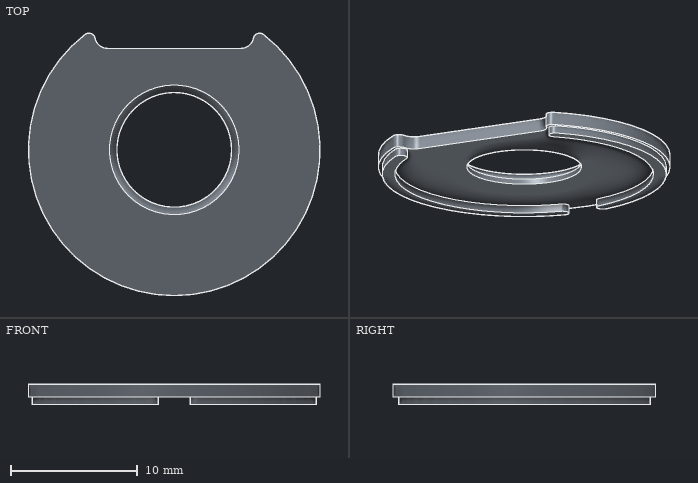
import cadquery as cq
import math

PLATE_RADIUS = 11.5
PLATE_THICKNESS = 1.01
FLAT_Y = 8.0
HORN_TOP_Y = 9.2
HORN_TIP_RADIUS = 0.5
HORN_ROOT_RADIUS = 1.0

HOLE_RADIUS = 4.5
HOLE_CHAMFER = 0.6

LIP_HEIGHT = 0.6
LIP_OUTER_RADIUS = 11.2
LIP_WIDTH = 1.01
FRONT_GAP = 2.5
LIP_BACK_Y = 8.79


def point_toward(start, target, distance):
    """Point at the given distance from start, on the line to target."""
    fraction = distance / math.dist(start, target)
    return (
        start[0] + fraction * (target[0] - start[0]),
        start[1] + fraction * (target[1] - start[1]),
    )


def polar(radius, angle):
    return (radius * math.cos(angle), radius * math.sin(angle))


def mirrored(point):
    return (-point[0], point[1])


def make_plate():
    tip_y = HORN_TOP_Y - HORN_TIP_RADIUS
    tip_x = math.sqrt((PLATE_RADIUS - HORN_TIP_RADIUS) ** 2 - tip_y**2)
    tip_center = (tip_x, tip_y)
    root_y = FLAT_Y + HORN_ROOT_RADIUS
    root_x = tip_x - math.sqrt((HORN_TIP_RADIUS + HORN_ROOT_RADIUS) ** 2 - (root_y - tip_y) ** 2)
    root_center = (root_x, root_y)

    rim_end = polar(PLATE_RADIUS, math.atan2(tip_y, tip_x))
    tip_top = (tip_x, HORN_TOP_Y)
    tip_end = point_toward(tip_center, root_center, HORN_TIP_RADIUS)
    flat_end = (root_x, FLAT_Y)
    root_chord_middle = ((tip_end[0] + flat_end[0]) / 2, (tip_end[1] + flat_end[1]) / 2)
    root_middle = point_toward(root_center, root_chord_middle, HORN_ROOT_RADIUS)

    return (
        cq.Workplane("XY")
        .moveTo(*rim_end)
        .threePointArc(tip_top, tip_end)
        .threePointArc(root_middle, flat_end)
        .lineTo(*mirrored(flat_end))
        .threePointArc(mirrored(root_middle), mirrored(tip_end))
        .threePointArc(mirrored(tip_top), mirrored(rim_end))
        .threePointArc((0, -PLATE_RADIUS), rim_end)
        .close()
        .extrude(PLATE_THICKNESS)
    )


def make_hole():
    top_radius = HOLE_RADIUS + HOLE_CHAMFER
    return (
        cq.Workplane("XZ")
        .polyline([
            (0, 0),
            (HOLE_RADIUS, 0),
            (HOLE_RADIUS, PLATE_THICKNESS - HOLE_CHAMFER),
            (top_radius, PLATE_THICKNESS),
            (0, PLATE_THICKNESS),
        ])
        .close()
        .revolve(360, (0, 0), (0, 1))
    )


def make_right_rib():
    end_radius = LIP_WIDTH / 2
    middle_radius = LIP_OUTER_RADIUS - end_radius
    inner_radius = LIP_OUTER_RADIUS - LIP_WIDTH

    front_angle = -math.acos((FRONT_GAP / 2 + end_radius) / middle_radius)
    back_angle = math.asin((LIP_BACK_Y - end_radius) / middle_radius)
    half_way = (front_angle + back_angle) / 2

    front_center = polar(middle_radius, front_angle)
    back_center = polar(middle_radius, back_angle)
    front_offset = polar(end_radius, front_angle - math.pi / 2)
    back_offset = polar(end_radius, back_angle + math.pi / 2)
    front_tip = (front_center[0] + front_offset[0], front_center[1] + front_offset[1])
    back_tip = (back_center[0] + back_offset[0], back_center[1] + back_offset[1])

    return (
        cq.Workplane("XY")
        .moveTo(*polar(LIP_OUTER_RADIUS, front_angle))
        .threePointArc(polar(LIP_OUTER_RADIUS, half_way), polar(LIP_OUTER_RADIUS, back_angle))
        .threePointArc(back_tip, polar(inner_radius, back_angle))
        .threePointArc(polar(inner_radius, half_way), polar(inner_radius, front_angle))
        .threePointArc(front_tip, polar(LIP_OUTER_RADIUS, front_angle))
        .close()
        .extrude(-LIP_HEIGHT)
    )


right_rib = make_right_rib()
left_rib = right_rib.mirror("YZ")
result = make_plate().cut(make_hole()).union(right_rib).union(left_rib)